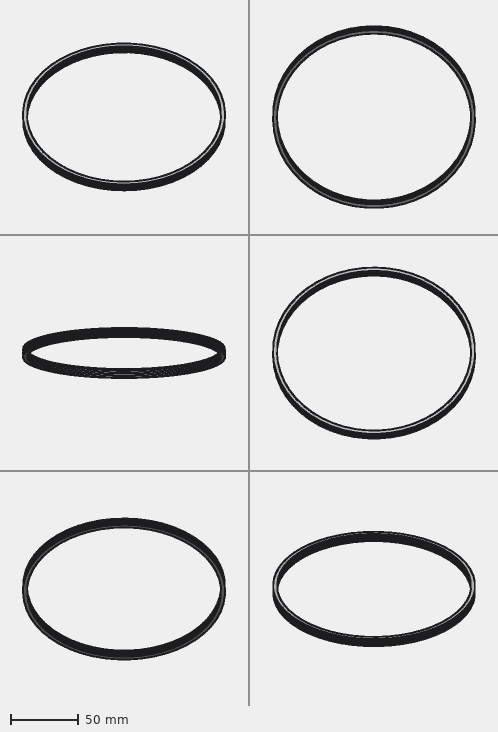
import cadquery as cq

outer_diameter = 150.0
bore_diameter = 144.0
groove_depth = 1.8
stack_height = 6.5
wide_ring_count = 3

spacer_count = wide_ring_count - 1
layer_thickness = stack_height / (wide_ring_count + spacer_count)
layer_pitch = 2 * layer_thickness
spacer_diameter = outer_diameter - 2 * groove_depth


def make_annulus(diameter, base_z):
    """Flat ring around the common bore, one layer thick, resting at base_z."""
    return (
        cq.Workplane("XY", origin=(0, 0, base_z))
        .circle(diameter / 2)
        .circle(bore_diameter / 2)
        .extrude(layer_thickness)
    )


def make_wide_ring(index):
    """Full-diameter ring, counted from the bottom of the stack."""
    return make_annulus(outer_diameter, index * layer_pitch)


def make_spacer(index):
    """Narrower ring resting on the wide ring of the same index."""
    return make_annulus(spacer_diameter, index * layer_pitch + layer_thickness)


wide_rings = [make_wide_ring(index).val() for index in range(wide_ring_count)]
spacers = [make_spacer(index).val() for index in range(spacer_count)]

result = cq.Compound.makeCompound([*wide_rings, *spacers])